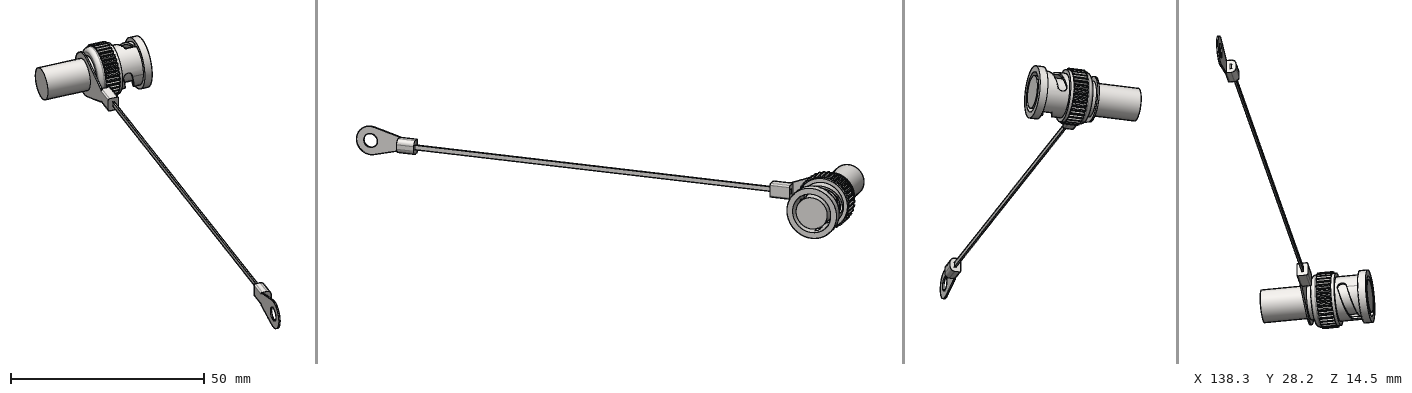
import cadquery as cq
import math


rim_radius = 13.7 / 2
rim_depth = 2.1
neck_radius = 5.8
collar_depth = 8.3
knurl_start = 9.1
knurl_end = 13.0
nut_depth = 14.7
nut_edge_fillet = 1.2
nut_bore_radius = 5.3

tooth_count = 36
tooth_tip = 14.5 / 2
tooth_root = 6.8
tooth_tip_width = 0.35
tooth_root_width = 1.0

slot_count = 2
slot_width = 2.5
slot_end_depth = 6.4
slot_rise_per_turn = 9.1
slot_turn = 95 / 360
entry_start = 0.21
entry_end = 1.04
entry_depth = 5.0

shaft_length = 28.2
shaft_radius = 4.3
shoulder_radius = 4.7

plate_thickness = 0.4
plate_depth = 15.9
crimp_height = 2.9
crimp_half_width = 3.7 / 2
crimp_front_fillet = 0.39

cap_eye_radius = 6.0
cap_taper_end = 11.5
cap_crimp_start = 10.9
cap_crimp_end = 16.3
cap_crimp_back_fillet = 0.4

overall_length = 138.3
tail_eye_radius = 3.9
tail_hole_radius = 3.7 / 2
tail_eye_x = overall_length - tooth_tip - tail_eye_radius
tail_crimp_start = 114.4
tail_crimp_end = 119.1
tail_crimp_back_fillet = 1.2

strap_width = 1.2
strap_thickness = 0.48
strap_depth = 14.8


def disc(radius, start_depth, end_depth):
    """Cylinder on the cap axis between two depths."""
    face = cq.Workplane("XZ", origin=(0, -start_depth, 0))
    return face.circle(radius).extrude(end_depth - start_depth)


def polar_point(along, across, angle):
    """Point at a distance along a spoke at this angle and a distance across it."""
    return (
        along * math.cos(angle) - across * math.sin(angle),
        along * math.sin(angle) + across * math.cos(angle),
    )


def make_knurl():
    """Toothed ring of straight ridges with flat tips."""
    points = []
    for tooth in range(tooth_count):
        angle = 2 * math.pi * tooth / tooth_count
        points.append(polar_point(tooth_root, -tooth_root_width / 2, angle))
        points.append(polar_point(tooth_tip, -tooth_tip_width / 2, angle))
        points.append(polar_point(tooth_tip, tooth_tip_width / 2, angle))
        points.append(polar_point(tooth_root, tooth_root_width / 2, angle))
    face = cq.Workplane("XZ", origin=(0, -knurl_start, 0))
    return face.polyline(points).close().extrude(knurl_end - knurl_start)


def make_bayonet_slot():
    """Cutter for the helical slot that ends round at +X and opens to an entry by the rim at -Z."""
    wall_middle = (nut_bore_radius + neck_radius) / 2
    wall_cut = 2 * (neck_radius - nut_bore_radius)

    helix = cq.Wire.makeHelix(slot_rise_per_turn, slot_rise_per_turn * slot_turn, wall_middle)
    ramp = (
        cq.Workplane("XZ", origin=(wall_middle, 0, 0))
        .rect(wall_cut, slot_width)
        .sweep(cq.Workplane(helix), isFrenet=True)
    )
    round_end = (
        cq.Workplane("YZ", origin=(wall_middle - wall_cut / 2, 0, 0))
        .circle(slot_width / 2)
        .extrude(wall_cut)
    )
    ramp = ramp.union(round_end).rotate((0, 0, 0), (1, 0, 0), -90).translate((0, -slot_end_depth, 0))

    entry = cq.Workplane("XY").box(
        entry_end - entry_start, entry_depth - rim_depth, wall_cut
    ).translate((-(entry_start + entry_end) / 2, -(rim_depth + entry_depth) / 2, -wall_middle))
    return ramp.union(entry)


def make_nut():
    """Bayonet nut: rim, slotted neck, knurled collar and a back wall around the shaft."""
    collar = disc(rim_radius, collar_depth, nut_depth).faces("<Y").edges().fillet(nut_edge_fillet)
    nut = disc(rim_radius, 0, rim_depth).union(disc(neck_radius, rim_depth, collar_depth))
    nut = nut.union(collar).union(make_knurl())
    nut = nut.cut(disc(nut_bore_radius, 0, collar_depth)).cut(disc(shoulder_radius, 0, nut_depth))
    slot = make_bayonet_slot()
    for index in range(slot_count):
        nut = nut.cut(slot.rotate((0, 0, 0), (0, 1, 0), index * 360 / slot_count))
    return nut


def make_shaft():
    """Stepped shaft: its shoulder fills the nut's back wall and backs the cap lug."""
    return disc(shaft_radius, 0, shaft_length).union(disc(shoulder_radius, collar_depth, plate_depth))


def make_strap_block(start_x, end_x, width, back_depth, front_depth):
    """Rectangular bar along X, centred on the cap axis in Z."""
    face = cq.Workplane("YZ", origin=(start_x, -(back_depth + front_depth) / 2, 0))
    return face.rect(front_depth - back_depth, width).extrude(end_x - start_x)


def make_strap():
    """Flat strap that runs the full length of both crimps."""
    back = strap_depth - strap_thickness / 2
    front = strap_depth + strap_thickness / 2
    return make_strap_block(cap_crimp_start, tail_crimp_end, strap_width, back, front)


def make_lug(eye_x, eye_radius, hole_radius, neck_x, crimp_start, crimp_end, back_fillet):
    """Flat eye that tapers tangentially to a neck and carries a block crimp around the strap."""
    side = math.copysign(1, neck_x - eye_x)
    reach = abs(neck_x - eye_x)
    corner_distance = math.hypot(reach, crimp_half_width)
    tangent_angle = math.atan2(crimp_half_width, reach) + math.acos(eye_radius / corner_distance)
    tangent_x = eye_x + side * eye_radius * math.cos(tangent_angle)
    tangent_z = eye_radius * math.sin(tangent_angle)

    face = cq.Workplane("XZ", origin=(0, -plate_depth, 0))
    plate = (
        face.moveTo(neck_x, crimp_half_width)
        .lineTo(tangent_x, tangent_z)
        .threePointArc((eye_x - side * eye_radius, 0), (tangent_x, -tangent_z))
        .lineTo(neck_x, -crimp_half_width)
        .close()
        .extrude(plate_thickness)
    )

    front_depth = plate_depth + plate_thickness
    crimp = make_strap_block(
        crimp_start, crimp_end, 2 * crimp_half_width, front_depth - crimp_height, front_depth
    )
    crimp = crimp.edges("|X and >Y").fillet(back_fillet).edges("|X and <Y").fillet(crimp_front_fillet)

    hole = face.center(eye_x, 0).circle(hole_radius).extrude(plate_thickness)
    return plate.union(crimp).cut(hole).cut(make_strap())


nut = make_nut()
shaft = make_shaft()
strap = make_strap()
cap_lug = make_lug(
    0, cap_eye_radius, shaft_radius, cap_taper_end,
    cap_crimp_start, cap_crimp_end, cap_crimp_back_fillet,
)
tail_lug = make_lug(
    tail_eye_x, tail_eye_radius, tail_hole_radius, tail_crimp_end,
    tail_crimp_start, tail_crimp_end, tail_crimp_back_fillet,
)

result = cq.Compound.makeCompound(
    [nut.val(), shaft.val(), strap.val(), cap_lug.val(), tail_lug.val()]
)